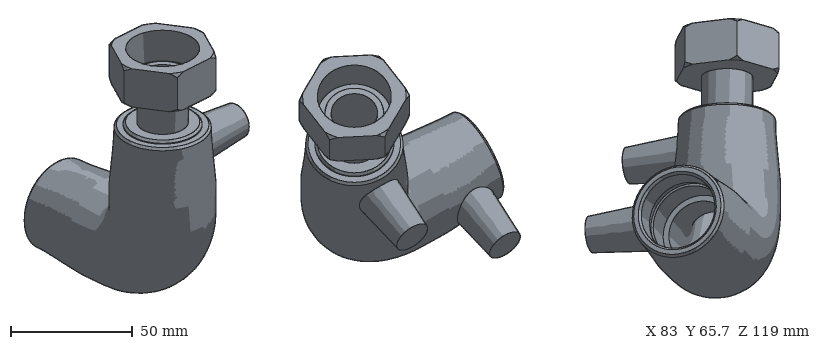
import cadquery as cq
import math


body_diameter = 44.0
bend_radius = 21.0
leg_straight_end = 33.3
leg_end = 61.0
leg_end_diameter = 40.0
leg_end_chamfer = 1.0
shoulder_fall = 0.6
tip_rise = 0.2

waterway_diameter = 27.0
socket_diameter = 32.0
socket_chamfer = 1.0
socket_floor = leg_straight_end
groove_diameter = socket_diameter + 2 * socket_chamfer
groove_near = leg_end - 11.0
groove_far = leg_end - 15.5

collar_diameter = 32.5
collar_height = 1.4
collar_chamfer = 1.0
stem_diameter = 21.2
stem_bore_diameter = 19.0

nut_across_flats = 39.35
nut_corner_diameter = nut_across_flats / math.cos(math.pi / 6)
nut_corner_chamfer = 1.5
nut_height = 18.0
nut_top = 97.0
nut_bottom = nut_top - nut_height
nut_thread_diameter = 30.29
nut_floor = nut_bottom + 3.5
stem_flange_diameter = 24.23
stem_flange_top = nut_floor + 1.5

peg_offset = 45.7
peg_end_y = 43.0
peg_end_diameter = 15.2
peg_taper = 5.0


def cylinder_z(diameter, bottom, top):
    """Cylinder on the Z axis between two heights."""
    return cq.Workplane("XY").workplane(offset=bottom).circle(diameter / 2).extrude(top - bottom)


def to_horizontal(shape):
    """Turn a shape built on the +Z leg so that it lies on the -X leg."""
    return shape.rotate((0, 0, 0), (0, 1, 0), -90)


def spin_about_bend_axis(section, angle):
    """Revolve a section lying across the vertical leg about the bend axis, towards the horizontal leg."""
    return section.revolve(angle, (-bend_radius, -1, 0), (-bend_radius, 1, 0))


def body_bend():
    """Outer elbow: a quarter of the full ring whose section is cut off flat at the bend axis."""
    radius = body_diameter / 2
    flat_half_width = math.sqrt(radius**2 - bend_radius**2)
    section = (
        cq.Workplane("XY")
        .workplane(offset=bend_radius)
        .moveTo(-bend_radius, -flat_half_width)
        .threePointArc((radius, 0), (-bend_radius, flat_half_width))
        .close()
    )
    ring = spin_about_bend_axis(section, 360)
    quarter_size = bend_radius + body_diameter
    quarter = (
        cq.Workplane("XY")
        .box(quarter_size, body_diameter, quarter_size)
        .translate((quarter_size / 2 - bend_radius, 0, bend_radius - quarter_size / 2))
    )
    return ring.intersect(quarter)


def leg():
    """Straight band, smooth narrowing and chamfered end, turned about Z."""
    body_radius = body_diameter / 2
    end_radius = leg_end_diameter / 2
    narrowing_end = leg_end - leg_end_chamfer
    third = (narrowing_end - leg_straight_end) / 3
    narrowing = [
        (body_radius, leg_straight_end),
        (body_radius - shoulder_fall, leg_straight_end + third),
        (end_radius + tip_rise, narrowing_end - third),
        (end_radius, narrowing_end),
    ]
    return (
        cq.Workplane("XZ")
        .moveTo(0, bend_radius)
        .lineTo(body_radius, bend_radius)
        .lineTo(body_radius, leg_straight_end)
        .bezier(narrowing)
        .lineTo(end_radius - leg_end_chamfer, leg_end)
        .lineTo(0, leg_end)
        .close()
        .revolve(360, (0, 0, 0), (0, 1, 0))
    )


def peg():
    """Tapered peg pointing to +Y, with its base on the leg axis."""
    base_radius = peg_end_diameter / 2 + peg_end_y * math.tan(math.radians(peg_taper))
    return cq.Workplane("XZ").circle(base_radius).extrude(-peg_end_y, taper=peg_taper)


def collar_and_stem():
    """Chamfered collar on the vertical leg and the flanged stem that carries the nut."""
    collar = cylinder_z(collar_diameter, leg_end, leg_end + collar_height)
    collar = collar.faces(">Z").chamfer(collar_chamfer)
    stem = cylinder_z(stem_diameter, leg_end, nut_bottom)
    flange = cylinder_z(stem_flange_diameter, nut_bottom, stem_flange_top)
    return collar.union(stem).union(flange)


def nut():
    """Hexagon nut with flats facing +X and -X, corners chamfered on both faces."""
    hexagon = (
        cq.Workplane("XY")
        .workplane(offset=nut_bottom)
        .polygon(6, nut_corner_diameter)
        .extrude(nut_height)
        .rotate((0, 0, 0), (0, 0, 1), 30)
    )
    chamfered_blank = cylinder_z(nut_corner_diameter, nut_bottom, nut_top).edges().chamfer(nut_corner_chamfer)
    thread_bore = cylinder_z(nut_thread_diameter, nut_floor, nut_top)
    return hexagon.intersect(chamfered_blank).cut(thread_bore)


def socket():
    """Cutter for the horizontal leg: chamfered mouth, bore and relief groove."""
    mouth = (
        cq.Workplane("XY")
        .workplane(offset=leg_end)
        .circle(socket_diameter / 2 + socket_chamfer)
        .extrude(-socket_chamfer, taper=45)
    )
    bore = cylinder_z(socket_diameter, socket_floor, leg_end)
    groove = cylinder_z(groove_diameter, groove_far, groove_near)
    return to_horizontal(bore.union(mouth).union(groove))


def waterway():
    """Cutter for the passage from the socket floor, round the bend and up through the stem."""
    bend_section = cq.Workplane("XY").workplane(offset=bend_radius).circle(waterway_diameter / 2)
    straight = cylinder_z(waterway_diameter, bend_radius, leg_straight_end)
    stem_bore = cylinder_z(stem_bore_diameter, leg_straight_end, stem_flange_top)
    bend = spin_about_bend_axis(bend_section, 90)
    return bend.union(straight).union(to_horizontal(straight)).union(stem_bore)


body = body_bend().union(leg()).union(to_horizontal(leg()))
for peg_base in [(0, 0, peg_offset), (-peg_offset, 0, 0)]:
    body = body.union(peg().translate(peg_base))

body = body.union(nut()).union(collar_and_stem())
result = body.cut(socket()).cut(waterway())